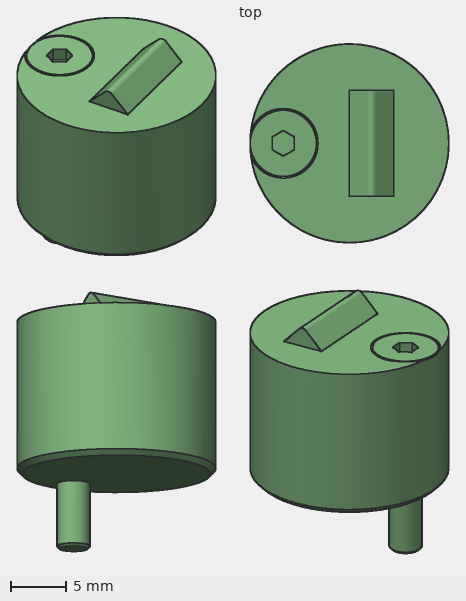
import cadquery as cq
import math

HOUSING_DIAMETER = 18.0
HOUSING_HEIGHT = 14.0
HOUSING_CHAMFER = 0.5

SCREW_X = -6.0
SHANK_DIAMETER = 3.0
SHANK_PROJECTION = 6.0
SHANK_CHAMFER = 0.25
HEAD_DIAMETER = 6.0
HEAD_LIP = 0.15
HEX_ACROSS_FLATS = 2.0
HEX_DEPTH = 1.2

INSERT_X = 2.0
INSERT_LENGTH = 9.57
RIDGE_HEIGHT = 1.8
RIDGE_RADIUS = 0.5
INSERT_DEPTH = 2.0

lip_bottom_z = HOUSING_HEIGHT - HEAD_LIP
cone_height = (HEAD_DIAMETER - SHANK_DIAMETER) / 2
cone_bottom_z = lip_bottom_z - cone_height
shank_radius = SHANK_DIAMETER / 2
countersink_radius = HEAD_DIAMETER / 2 + HEAD_LIP

sharp_ridge_height = RIDGE_HEIGHT + RIDGE_RADIUS * (math.sqrt(2) - 1)
insert_width = 2 * sharp_ridge_height


def revolve_at_screw(profile):
    """Revolve (radius, z) points around the screw axis."""
    return (
        cq.Workplane("XZ", origin=(SCREW_X, 0, 0))
        .polyline(profile)
        .close()
        .revolve(360, (0, 0, 0), (0, 1, 0))
    )


def insert_block():
    """Part of the insert below the housing top; it also shapes the pocket."""
    block = cq.Workplane("XY").box(
        insert_width, INSERT_LENGTH, INSERT_DEPTH, centered=(True, True, False)
    )
    return block.translate((INSERT_X, 0, HOUSING_HEIGHT - INSERT_DEPTH))


def make_housing():
    body = cq.Workplane("XY").circle(HOUSING_DIAMETER / 2).extrude(HOUSING_HEIGHT)
    body = body.faces("<Z").edges().chamfer(HOUSING_CHAMFER)
    screw_hole = revolve_at_screw([
        (0, 0),
        (shank_radius, 0),
        (shank_radius, cone_bottom_z),
        (countersink_radius, HOUSING_HEIGHT),
        (0, HOUSING_HEIGHT),
    ])
    return body.cut(screw_hole).cut(insert_block())


def make_screw():
    body = revolve_at_screw([
        (0, -SHANK_PROJECTION),
        (shank_radius - SHANK_CHAMFER, -SHANK_PROJECTION),
        (shank_radius, SHANK_CHAMFER - SHANK_PROJECTION),
        (shank_radius, cone_bottom_z),
        (HEAD_DIAMETER / 2, lip_bottom_z),
        (HEAD_DIAMETER / 2, HOUSING_HEIGHT),
        (0, HOUSING_HEIGHT),
    ])
    hex_across_corners = HEX_ACROSS_FLATS / math.cos(math.radians(30))
    socket = (
        cq.Workplane("XY")
        .polygon(6, hex_across_corners)
        .extrude(HEX_DEPTH)
        .rotate((0, 0, 0), (0, 0, 1), 30)
        .translate((SCREW_X, 0, HOUSING_HEIGHT - HEX_DEPTH))
    )
    return body.cut(socket)


def make_insert():
    ridge = (
        cq.Workplane("XZ", origin=(INSERT_X, 0, HOUSING_HEIGHT))
        .moveTo(-insert_width / 2, 0)
        .lineTo(0, sharp_ridge_height)
        .lineTo(insert_width / 2, 0)
        .close()
        .extrude(INSERT_LENGTH / 2, both=True)
    )
    ridge = ridge.edges("|Y and >Z").fillet(RIDGE_RADIUS)
    return insert_block().union(ridge)


housing = make_housing()
screw = make_screw()
insert = make_insert()

result = cq.Compound.makeCompound([housing.val(), screw.val(), insert.val()])